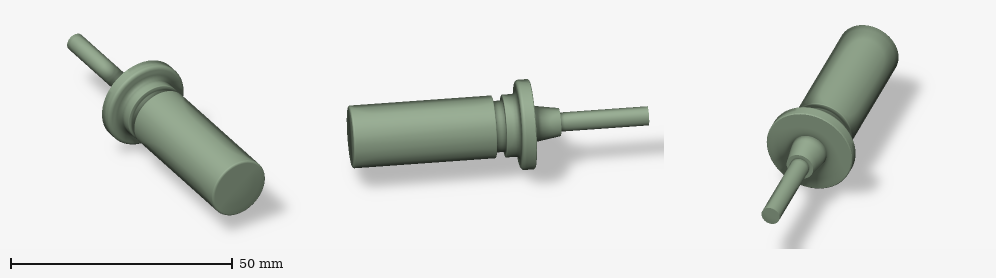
import cadquery as cq

OVERALL_LENGTH = 67.8
COLLAR_FRONT = 20.15
FLANGE_FRONT = 26.5
FLANGE_THICKNESS = 3.2
GROOVE_START = 32.95
GROOVE_WIDTH = 2.25

PIN_RADIUS = 2.2
COLLAR_FRONT_RADIUS = 3.2
COLLAR_BACK_RADIUS = 4.2
FLANGE_RADIUS = 10.25
BARREL_RADIUS = 7.1
GROOVE_RADIUS = 5.8

FLANGE_FRONT_CHAMFER = 0.2
FLANGE_BACK_FILLET = 0.8
FLANGE_ROOT_FILLET = 0.95
GROOVE_FILLET = 0.2
BARREL_END_FILLET = 0.5

FLANGE_BACK = FLANGE_FRONT + FLANGE_THICKNESS
GROOVE_END = GROOVE_START + GROOVE_WIDTH


def revolve_about_x(profile):
    """Turn a closed half profile, drawn as (axial position, radius), about the X axis."""
    return profile.close().revolve(360, (0, 0, 0), (1, 0, 0))


def make_pin():
    """Straight round pin that passes through the collar and butts on the flange."""
    return cq.Workplane("YZ").circle(PIN_RADIUS).extrude(FLANGE_FRONT)


def make_collar():
    """Tapered collar around the pin, seated against the flange."""
    profile = (
        cq.Workplane("XY")
        .moveTo(COLLAR_FRONT, PIN_RADIUS)
        .lineTo(COLLAR_FRONT, COLLAR_FRONT_RADIUS)
        .lineTo(FLANGE_FRONT, COLLAR_BACK_RADIUS)
        .lineTo(FLANGE_FRONT, PIN_RADIUS)
    )
    return revolve_about_x(profile)


def make_housing():
    """Flanged barrel with a rounded groove behind the flange."""
    profile = (
        cq.Workplane("XY")
        .moveTo(FLANGE_FRONT, 0)
        .lineTo(FLANGE_FRONT, FLANGE_RADIUS - FLANGE_FRONT_CHAMFER)
        .lineTo(FLANGE_FRONT + FLANGE_FRONT_CHAMFER, FLANGE_RADIUS)
        .lineTo(FLANGE_BACK - FLANGE_BACK_FILLET, FLANGE_RADIUS)
        .radiusArc((FLANGE_BACK, FLANGE_RADIUS - FLANGE_BACK_FILLET), FLANGE_BACK_FILLET)
        .lineTo(FLANGE_BACK, BARREL_RADIUS + FLANGE_ROOT_FILLET)
        .radiusArc((FLANGE_BACK + FLANGE_ROOT_FILLET, BARREL_RADIUS), -FLANGE_ROOT_FILLET)
        .lineTo(GROOVE_START - GROOVE_FILLET, BARREL_RADIUS)
        .radiusArc((GROOVE_START, BARREL_RADIUS - GROOVE_FILLET), GROOVE_FILLET)
        .lineTo(GROOVE_START, GROOVE_RADIUS + GROOVE_FILLET)
        .radiusArc((GROOVE_START + GROOVE_FILLET, GROOVE_RADIUS), -GROOVE_FILLET)
        .lineTo(GROOVE_END - GROOVE_FILLET, GROOVE_RADIUS)
        .radiusArc((GROOVE_END, GROOVE_RADIUS + GROOVE_FILLET), -GROOVE_FILLET)
        .lineTo(GROOVE_END, BARREL_RADIUS - GROOVE_FILLET)
        .radiusArc((GROOVE_END + GROOVE_FILLET, BARREL_RADIUS), GROOVE_FILLET)
        .lineTo(OVERALL_LENGTH - BARREL_END_FILLET, BARREL_RADIUS)
        .radiusArc((OVERALL_LENGTH, BARREL_RADIUS - BARREL_END_FILLET), BARREL_END_FILLET)
        .lineTo(OVERALL_LENGTH, 0)
    )
    return revolve_about_x(profile)


pin = make_pin()
collar = make_collar()
housing = make_housing()

result = cq.Compound.makeCompound([pin.val(), collar.val(), housing.val()])